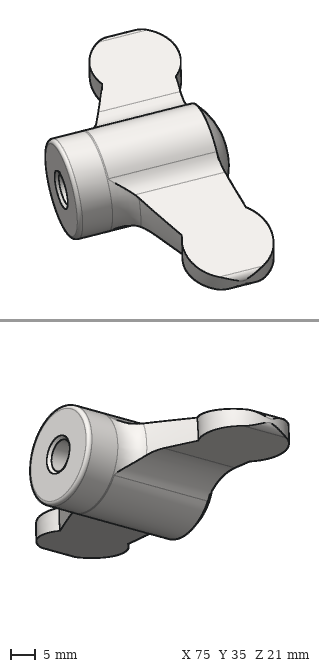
import cadquery as cq
import math


total_length = 35.0
half_span = 37.5

stem_radius = 10.5
hub_radius = 10.507
stem_length = 7.25
base_rounding = 0.85
dome_radius = 15.0
dome_base_y = total_length - dome_radius + math.sqrt(dome_radius**2 - stem_radius**2)

hole_diameter = 6.65
hole_mouth_diameter = 8.0
hole_depth = 14.0
drill_point_angle = 118.0

flat_face_offset = 1.127
slope_face_offset = 7.04
slope_angle = math.radians(7.2)
flat_blend_radius = 10.0
slope_blend_radius = 7.5
tip_rounding = 1.65
section_half_span = half_span + 0.01

neck_radius = 5.5
lower_cone_angle = math.radians(25.8)
upper_cone_angle = math.radians(7.2)
lobe_radius = 9.25
lobe_x = half_span - lobe_radius
lobe_y = total_length - lobe_radius


def polar(radius, angle):
    return (radius * math.cos(angle), radius * math.sin(angle))


def blend_between_hub_and_face(face_offset, blend_radius, tilt):
    """Hub point, middle point and face point of the arc joining the hub to a right-hand upper face.

    The face lies at face_offset from the axis, turned down toward the tip by tilt.
    """
    center_height = face_offset + blend_radius
    center_reach = math.sqrt((hub_radius + blend_radius)**2 - center_height**2)
    center_angle = math.atan2(center_height, center_reach) - tilt
    center_x, center_z = polar(hub_radius + blend_radius, center_angle)
    start_angle = center_angle + math.pi
    end_angle = 1.5 * math.pi - tilt

    def on_arc(angle):
        dx, dz = polar(blend_radius, angle)
        return (center_x + dx, center_z + dz)

    return [on_arc(start_angle), on_arc((start_angle + end_angle) / 2), on_arc(end_angle)]


def make_arm_section():
    """Prism along Y of the hub circle and both arms; each half is the other turned 180 degrees."""
    slope_hub, slope_mid, slope_face = blend_between_hub_and_face(
        slope_face_offset, slope_blend_radius, slope_angle)
    flat_blend = blend_between_hub_and_face(flat_face_offset, flat_blend_radius, 0.0)
    flat_hub, flat_mid, flat_face = [(-x, z) for x, z in flat_blend]
    tip_slope_z = slope_face_offset / math.cos(slope_angle) - section_half_span * math.tan(slope_angle)
    right_tip = (section_half_span, tip_slope_z)
    left_tip = (-section_half_span, flat_face_offset)

    def turn_half(point, half):
        return (half * point[0], half * point[1])

    section = cq.Workplane("XZ").moveTo(*turn_half(left_tip, -1))
    for half in (1, -1):
        section = (
            section.lineTo(*turn_half(right_tip, half))
            .lineTo(*turn_half(slope_face, half))
            .threePointArc(turn_half(slope_mid, half), turn_half(slope_hub, half))
            .threePointArc(turn_half((0, hub_radius), half), turn_half(flat_hub, half))
            .threePointArc(turn_half(flat_mid, half), turn_half(flat_face, half))
            .lineTo(*turn_half(left_tip, half))
        )
    prism = section.close().extrude(-total_length)
    return prism.edges("|Y and (>X or <X)").fillet(tip_rounding)


def first_point_on_lobe(start, angle):
    """Point where a line rising at angle from start first meets the lobe circle."""
    to_lobe_x = lobe_x - start[0]
    to_lobe_y = lobe_y - start[1]
    along = to_lobe_x * math.cos(angle) + to_lobe_y * math.sin(angle)
    across = to_lobe_y * math.cos(angle) - to_lobe_x * math.sin(angle)
    distance = along - math.sqrt(lobe_radius**2 - across**2)
    dx, dy = polar(distance, angle)
    return (start[0] + dx, start[1] + dy)


def make_revolved_body():
    """Stem, arm edges, round lobes and dome, as one outline turned about the hub axis."""
    neck_turn = math.pi / 2 - lower_cone_angle

    def on_neck(turn):
        return (stem_radius + neck_radius * (1 - math.cos(turn)),
                stem_length + neck_radius * math.sin(turn))

    neck_end = on_neck(neck_turn)
    dome_edge = (stem_radius, dome_base_y)
    dome_half_angle = math.asin(stem_radius / dome_radius) / 2
    dome_mid = (dome_radius * math.sin(dome_half_angle),
                total_length - dome_radius * (1 - math.cos(dome_half_angle)))
    return (
        cq.Workplane("XY")
        .moveTo(0, 0)
        .lineTo(stem_radius - base_rounding, 0)
        .tangentArcPoint((stem_radius, base_rounding), relative=False)
        .lineTo(stem_radius, stem_length)
        .threePointArc(on_neck(neck_turn / 2), neck_end)
        .lineTo(*first_point_on_lobe(neck_end, lower_cone_angle))
        .threePointArc((half_span, lobe_y), first_point_on_lobe(dome_edge, upper_cone_angle))
        .lineTo(*dome_edge)
        .threePointArc(dome_mid, (0, total_length))
        .close()
        .revolve(360, (0, 0, 0), (0, 1, 0))
    )


def make_hole():
    """Blind hole with a 45 degree mouth chamfer and a drill point."""
    radius = hole_diameter / 2
    mouth_radius = hole_mouth_diameter / 2
    point_length = radius / math.tan(math.radians(drill_point_angle / 2))
    return (
        cq.Workplane("XY")
        .polyline([
            (0, 0),
            (mouth_radius, 0),
            (radius, mouth_radius - radius),
            (radius, hole_depth),
            (0, hole_depth + point_length),
        ])
        .close()
        .revolve(360, (0, 0, 0), (0, 1, 0))
    )


result = make_revolved_body().intersect(make_arm_section()).cut(make_hole())